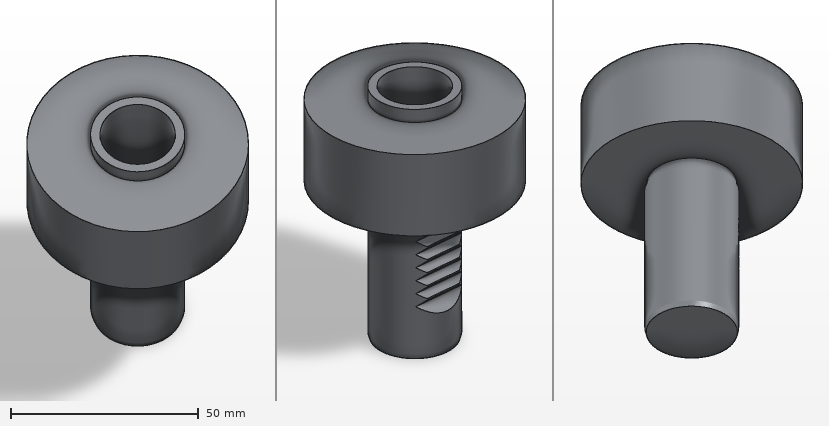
import cadquery as cq
import math

total_height = 77.0
head_diameter = 59.0
head_height = 25.0
boss_height = 4.0
shank_diameter = 25.0
shank_radius = shank_diameter / 2
head_bottom = total_height - boss_height - head_height

neck_radius = 24.1 / 2
neck_height = 0.8
taper_height = 1.5
end_chamfer_height = 1.5
end_chamfer_width = end_chamfer_height * math.tan(math.radians(15))

bore_radius = 20.0 / 2
bore_depth = boss_height + head_height
drill_point_angle = 118.0
drill_point_depth = bore_radius / math.tan(math.radians(drill_point_angle / 2))

tooth_count = 5
tooth_pitch = 4.0
tooth_tip_depth = 1.5
valley_depth = 3.2
tip_flat = tooth_pitch - 2 * (valley_depth - tooth_tip_depth)
rack_center_z = 26.25
end_flank_run = valley_depth


def turned_body():
    """Shank, neck, head and boss as one revolved profile."""
    boss_bottom = total_height - boss_height
    neck_bottom = head_bottom - neck_height
    return (
        cq.Workplane("XZ")
        .moveTo(0, 0)
        .lineTo(shank_radius - end_chamfer_width, 0)
        .lineTo(shank_radius, end_chamfer_height)
        .lineTo(shank_radius, neck_bottom - taper_height)
        .lineTo(neck_radius, neck_bottom)
        .lineTo(neck_radius, head_bottom)
        .lineTo(head_diameter / 2, head_bottom)
        .lineTo(head_diameter / 2, boss_bottom)
        .lineTo(shank_radius, boss_bottom)
        .lineTo(shank_radius, total_height)
        .lineTo(0, total_height)
        .close()
        .revolve(360, (0, 0, 0), (0, 1, 0))
    )


def bore():
    """Cylinder with a conical bottom, open at the top."""
    shoulder_z = total_height - bore_depth
    return (
        cq.Workplane("XZ")
        .moveTo(0, shoulder_z - drill_point_depth)
        .lineTo(bore_radius, shoulder_z)
        .lineTo(bore_radius, total_height)
        .lineTo(0, total_height)
        .close()
        .revolve(360, (0, 0, 0), (0, 1, 0))
    )


def rack_cut():
    """Space outside the teeth, running the full width of the shank along X."""
    valley_y = shank_radius - valley_depth
    tip_y = shank_radius - tooth_tip_depth
    first_valley_z = rack_center_z - tooth_count * tooth_pitch / 2
    last_valley_z = rack_center_z + tooth_count * tooth_pitch / 2
    points = [(shank_radius, first_valley_z - end_flank_run), (valley_y, first_valley_z)]
    for tooth in range(tooth_count):
        tip_z = first_valley_z + (tooth + 0.5) * tooth_pitch
        points.append((tip_y, tip_z - tip_flat / 2))
        points.append((tip_y, tip_z + tip_flat / 2))
        points.append((valley_y, tip_z + tooth_pitch / 2))
    points.append((shank_radius, last_valley_z + end_flank_run))
    return cq.Workplane("YZ").polyline(points).close().extrude(shank_radius, both=True)


result = turned_body().cut(bore()).cut(rack_cut())